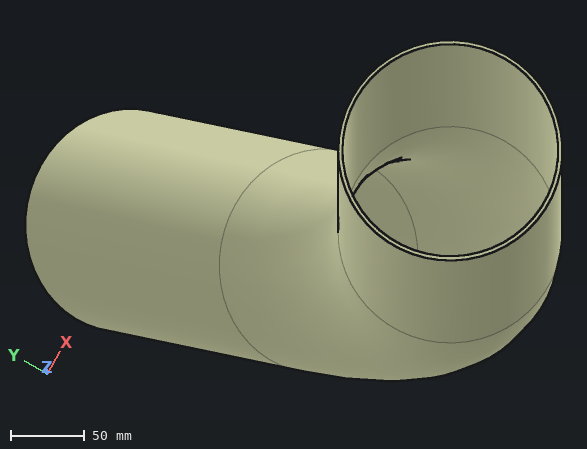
import cadquery as cq
import math

overall_height = 988.0
outer_diameter = 152.0
inner_diameter = 146.0
bend_radius = 5 * outer_diameter
bend_angle = math.radians(30)

outer_radius = outer_diameter / 2
sin_bend = math.sin(bend_angle)
cos_bend = math.cos(bend_angle)

leg_length = (overall_height - (bend_radius + outer_radius) * sin_bend) / (1 + cos_bend)


def bend_point(angle):
    """Centreline point (Y, Z) after turning by angle from the upper leg."""
    y = bend_radius * (1 - math.cos(angle))
    z = -leg_length - bend_radius * math.sin(angle)
    return y, z


bend_end_y, bend_end_z = bend_point(bend_angle)
lower_end = (bend_end_y + leg_length * sin_bend, bend_end_z - leg_length * cos_bend)

centreline = (
    cq.Workplane("YZ")
    .moveTo(0, 0)
    .lineTo(0, -leg_length)
    .threePointArc(bend_point(bend_angle / 2), (bend_end_y, bend_end_z))
    .lineTo(*lower_end)
)

result = (
    cq.Workplane("XY")
    .circle(outer_radius)
    .circle(inner_diameter / 2)
    .sweep(centreline)
)